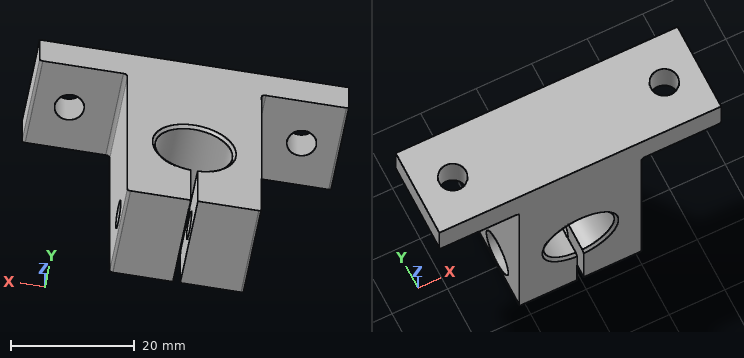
import cadquery as cq

flange_length = 50.8
flange_thickness = 6.3
total_height = 41.25
flange_depth = 15.9
mount_hole_diameter = 4.8
mount_hole_spacing = 38.1

body_width = 22.05
inner_corner_radius = 0.65
outer_corner_radius = 0.5

bore_diameter = 12.7
bore_chamfer = 0.5
bore_drop = 25.4
bore_height = total_height - bore_drop
slit_width = 1.15
screw_height = 5.1
screw_hole_diameter = 4.5
counterbore_diameter = 7.9
counterbore_depth = 4.0


def block(width, depth, bottom, top):
    """Box centred on X and Y between two heights."""
    return (
        cq.Workplane("XY", origin=(0, 0, bottom))
        .rect(width, depth)
        .extrude(top - bottom)
    )


def t_shaped_blank():
    flange_bottom = total_height - flange_thickness
    flange = block(flange_length, flange_depth, flange_bottom, total_height)
    body = block(body_width, flange_depth, 0, total_height)
    blank = flange.union(body)
    for side in (-1, 1):
        inner_corner = (side * body_width / 2, 0, flange_bottom)
        body_corner = (side * body_width / 2, 0, 0)
        flange_corner = (side * flange_length / 2, 0, flange_bottom)
        blank = blank.edges(cq.NearestToPointSelector(inner_corner)).fillet(inner_corner_radius)
        for corner in (body_corner, flange_corner):
            blank = blank.edges(cq.NearestToPointSelector(corner)).fillet(outer_corner_radius)
    return blank


def shaft_bore():
    """Bore along Y, chamfered at both mouths."""
    radius = bore_diameter / 2
    half_depth = flange_depth / 2
    mouth_radius = radius + bore_chamfer
    return (
        cq.Workplane("XY")
        .moveTo(0, -half_depth)
        .lineTo(mouth_radius, -half_depth)
        .lineTo(radius, -half_depth + bore_chamfer)
        .lineTo(radius, half_depth - bore_chamfer)
        .lineTo(mouth_radius, half_depth)
        .lineTo(0, half_depth)
        .close()
        .revolve(360, (0, 0, 0), (0, 1, 0))
        .translate((0, 0, bore_height))
    )


def clamp_screw_hole():
    """Hole along X with its counterbore on the -X side."""
    face = cq.Workplane("YZ", origin=(-body_width / 2, 0, screw_height))
    through_hole = face.circle(screw_hole_diameter / 2).extrude(body_width)
    counterbore = face.circle(counterbore_diameter / 2).extrude(counterbore_depth)
    return through_hole.union(counterbore)


def mounting_holes():
    return (
        cq.Workplane("XY")
        .pushPoints([(-mount_hole_spacing / 2, 0), (mount_hole_spacing / 2, 0)])
        .circle(mount_hole_diameter / 2)
        .extrude(total_height)
    )


slit = block(slit_width, flange_depth, 0, bore_height)

result = (
    t_shaped_blank()
    .cut(shaft_bore())
    .cut(slit)
    .cut(clamp_screw_hole())
    .cut(mounting_holes())
)